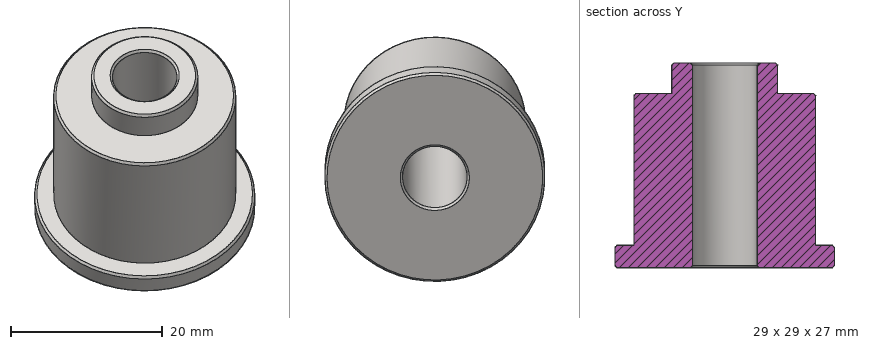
import cadquery as cq

flange_diameter = 29.0
flange_height = 3.0
body_diameter = 24.0
body_height = 20.0
hub_diameter = 14.0
hub_height = 4.0
bore_diameter = 8.5
edge_chamfer = 0.3

body_top = flange_height + body_height
total_height = body_top + hub_height


def cylinder(diameter, height):
    """Upright cylinder on the Z axis, rising from Z = 0."""
    return cq.Workplane("XY").circle(diameter / 2).extrude(height)


def make_flange():
    """Base disc with both rims chamfered."""
    return cylinder(flange_diameter, flange_height).edges().chamfer(edge_chamfer)


def make_step(diameter, top_z):
    """Cylinder rising from the base to top_z, with its top rim chamfered."""
    return cylinder(diameter, top_z).faces(">Z").edges().chamfer(edge_chamfer)


def make_bore():
    """Through bore widened by a chamfer at both mouths."""
    bore_radius = bore_diameter / 2
    mouth_radius = bore_radius + edge_chamfer
    profile = [
        (0, 0),
        (mouth_radius, 0),
        (bore_radius, edge_chamfer),
        (bore_radius, total_height - edge_chamfer),
        (mouth_radius, total_height),
        (0, total_height),
    ]
    return cq.Workplane("XZ").polyline(profile).close().revolve(360, (0, 0), (0, 1))


body = make_step(body_diameter, body_top)
hub = make_step(hub_diameter, total_height)
result = make_flange().union(body).union(hub).cut(make_bore())